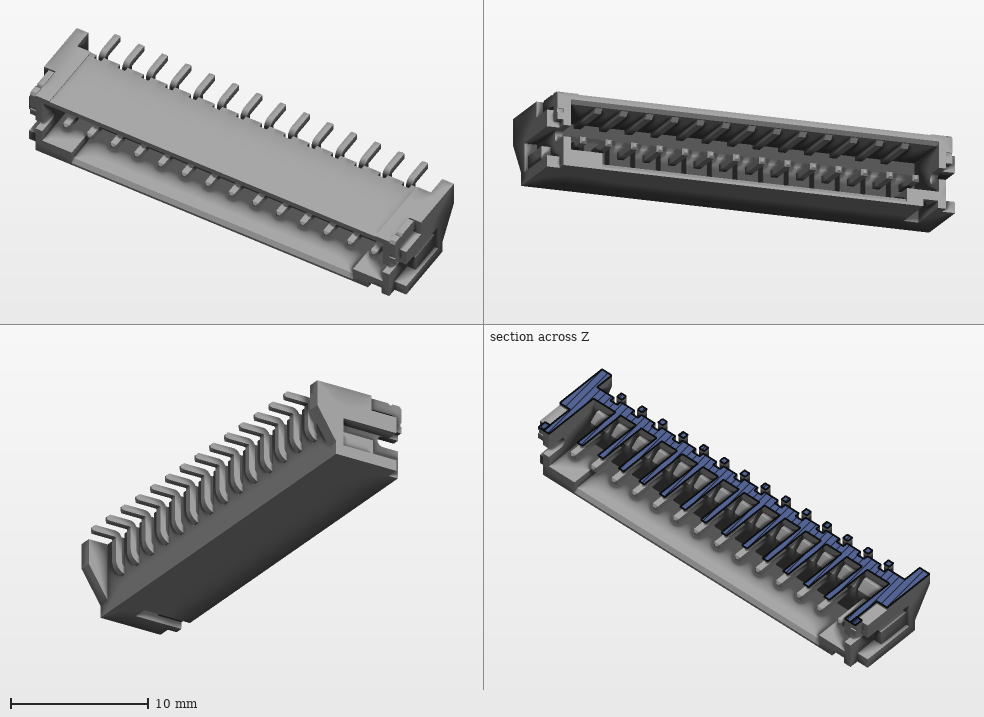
import cadquery as cq
import math

overall_length = 31.9
housing_top = 5.55
roof_top = 5.5
body_length = 29.92
body_depth = 5.95
raised_end_inner_x = 13.78

cavity_length = 28.77
cavity_ceiling = 4.8
bench_top = 1.25
floor_top = 0.48
floor_length = 23.8
back_wall_y = 4.88
lip_chamfer = 0.3

contact_count = 14
contact_pitch = 2.0 - 0.01
contact_width = 0.5
contact_height_z = 2.42
contact_tip_y = 0.95
contact_tip_chamfer = 0.15
contact_foot_end_y = 8.6
contact_leg_front_y = 6.15
upper_bend_radius = 0.57
lower_bend_radius = 0.57
inner_bend_radius = 0.05
slot_width = 0.65
slot_front_y = 5.58

block_width = 1.65
block_edge_radius = 0.1
block_front_y = 3.92
block_top = 3.75
block_slope_bottom = 3.2
block_slope_depth = 0.67
rib_width = 0.55
rib_height = 0.32
rib_front_y = 0.48

plate_front_y = 0.75
plate_rear_y = 7.6
plate_slope_top = 3.55
plate_slope_bottom = 1.0
tab_seat_rear_y = 2.9
tab_seat_floor = 4.35
window_rear_y = 5.33
window_bottom = 0.85
window_top = 3.05
key_front_y = 2.58
key_top = 2.1
key_thickness = 0.7

side_slot_depth = 1.75
side_slot_bottom = 2.2
groove_start_x = 13.17
groove_width = 1.15
groove_depth = 0.55
pocket_front_y = 2.0

tab_thickness = 0.48
tab_top = 5.6
tab_arm_bottom = 4.72
tab_leg_bottom = 3.48
tab_chamfer = 0.2
notch_half_width = 0.2
notch_depth = 0.15
notch_y = 0.95
recess_bottom = 4.0
recess_top = 4.3
recess_depth = 0.1

half_body = body_length / 2
contact_xs = [(i - (contact_count - 1) / 2) * contact_pitch for i in range(contact_count)]


def box(x_range, y_range, z_range):
    """Block spanning the given (low, high) ranges."""
    spans = [high - low for low, high in (x_range, y_range, z_range)]
    return cq.Workplane("XY").box(*spans, centered=False).translate(
        (x_range[0], y_range[0], z_range[0])
    )


def centred(width, x=0.0):
    """Range of the given width about x."""
    return (x - width / 2, x + width / 2)


def side_profile(points, x_range):
    """Prism along x with a polygonal outline given as (y, z) points."""
    outline = cq.Workplane("YZ", origin=(x_range[0], 0, 0)).polyline(points).close()
    return outline.extrude(x_range[1] - x_range[0])


def both_ends(left):
    """The left-hand shape together with its mirror image at the right-hand end."""
    return left.union(left.mirror("YZ"))


def make_shell():
    """Open-fronted box with raised ends and a stepped floor."""
    shell = box(centred(body_length), (0, body_depth), (0, roof_top))
    raised_end = box((-half_body, -raised_end_inner_x), (0, body_depth), (0, housing_top))
    shell = shell.union(both_ends(raised_end))
    shell = shell.cut(box(centred(cavity_length), (0, back_wall_y), (bench_top, cavity_ceiling)))
    shell = shell.cut(box(centred(floor_length), (0, back_wall_y), (floor_top, bench_top)))
    roof_lead_in = [
        (0, cavity_ceiling),
        (lip_chamfer, cavity_ceiling),
        (0, cavity_ceiling + lip_chamfer),
    ]
    floor_lead_in = [(0, floor_top), (lip_chamfer, floor_top), (0, floor_top - lip_chamfer)]
    shell = shell.cut(side_profile(roof_lead_in, centred(cavity_length)))
    return shell.cut(side_profile(floor_lead_in, centred(floor_length)))


def make_end_plate():
    """Left end plate with a seat for the solder tab and a keyed window in its outer face."""
    x_range = (-overall_length / 2, -half_body)
    outline = [
        (plate_front_y, 0),
        (body_depth, 0),
        (body_depth, plate_slope_bottom),
        (plate_rear_y, plate_slope_top),
        (plate_rear_y, housing_top),
        (tab_seat_rear_y, housing_top),
        (tab_seat_rear_y, tab_seat_floor),
        (plate_front_y, tab_seat_floor),
    ]
    plate = side_profile(outline, x_range)
    plate = plate.cut(box(x_range, (plate_front_y, window_rear_y), (window_bottom, window_top)))
    key = box(
        (-half_body - key_thickness, -half_body),
        (key_front_y, window_rear_y),
        (window_bottom, key_top),
    )
    return plate.union(key)


def make_side_slot():
    """Round-ended slot through the left side wall, open at the mating face."""
    radius = (window_top - side_slot_bottom) / 2
    straight = side_slot_depth - radius
    slot = (
        cq.Workplane("YZ", origin=(-half_body, 0, 0))
        .moveTo(0, side_slot_bottom)
        .lineTo(straight, side_slot_bottom)
        .threePointArc((side_slot_depth, side_slot_bottom + radius), (straight, window_top))
        .lineTo(0, window_top)
        .close()
    )
    return slot.extrude((body_length - cavity_length) / 2)


def make_contact_block(x):
    """Slope-topped block that carries one contact at the back of the cavity."""
    block = box(centred(block_width, x), (block_front_y, back_wall_y), (0, block_top))
    block = block.edges("|Z and <Y").fillet(block_edge_radius)
    slope = [
        (block_front_y, block_slope_bottom),
        (block_front_y, block_top),
        (block_front_y + block_slope_depth, block_top),
    ]
    return block.cut(side_profile(slope, centred(block_width, x)))


def make_roof_rib(x):
    """Rib under the roof with a sloping front."""
    outline = [
        (rib_front_y, cavity_ceiling),
        (rib_front_y + rib_height, cavity_ceiling - rib_height),
        (back_wall_y, cavity_ceiling - rib_height),
        (back_wall_y, cavity_ceiling),
    ]
    return side_profile(outline, centred(rib_width, x))


def make_contact(x):
    """Blade through the back wall, rising behind it and bending back into a solder foot."""
    blade_bottom = contact_height_z - contact_width / 2
    blade_top = blade_bottom + contact_width
    foot_bottom = housing_top - contact_width
    leg_rear_y = contact_leg_front_y + contact_width
    outer_lower_radius = lower_bend_radius + contact_width
    arc_part = math.sqrt(0.5)
    lower_y = contact_leg_front_y - lower_bend_radius
    lower_z = blade_top + lower_bend_radius
    upper_y = contact_leg_front_y + upper_bend_radius
    upper_z = housing_top - upper_bend_radius
    inner_y = leg_rear_y + inner_bend_radius
    inner_z = foot_bottom - inner_bend_radius

    def on_arc(centre_y, centre_z, radius, y_sign, z_sign):
        return (centre_y + y_sign * radius * arc_part, centre_z + z_sign * radius * arc_part)

    contact = (
        cq.Workplane("YZ", origin=(x - contact_width / 2, 0, 0))
        .moveTo(contact_tip_y, blade_bottom)
        .lineTo(lower_y, blade_bottom)
        .threePointArc(on_arc(lower_y, lower_z, outer_lower_radius, 1, -1), (leg_rear_y, lower_z))
        .lineTo(leg_rear_y, inner_z)
        .threePointArc(on_arc(inner_y, inner_z, inner_bend_radius, -1, 1), (inner_y, foot_bottom))
        .lineTo(contact_foot_end_y, foot_bottom)
        .lineTo(contact_foot_end_y, housing_top)
        .lineTo(upper_y, housing_top)
        .threePointArc(on_arc(upper_y, upper_z, upper_bend_radius, -1, 1), (contact_leg_front_y, upper_z))
        .lineTo(contact_leg_front_y, lower_z)
        .threePointArc(on_arc(lower_y, lower_z, lower_bend_radius, 1, -1), (lower_y, blade_top))
        .lineTo(contact_tip_y, blade_top)
        .close()
        .extrude(contact_width)
    )
    return contact.faces("<Y").chamfer(contact_tip_chamfer).faces(">Y").chamfer(contact_tip_chamfer)


def make_leg_channel(x):
    """Channel in the rear face that clears one contact leg."""
    channel_bottom = contact_height_z - contact_width / 2
    return box(
        centred(slot_width, x),
        (slot_front_y, body_depth),
        (channel_bottom, housing_top),
    )


def make_underside_groove():
    """Groove under the right bench that rises through the bench at its inner end."""
    x_range = (groove_start_x, groove_start_x + groove_width)
    groove = box(x_range, (0, block_front_y), (0, groove_depth))
    return groove.union(box(x_range, (pocket_front_y, block_front_y), (0, bench_top)))


def make_housing():
    """Insulating housing with its end plates and the contacts set into it."""
    housing = make_shell()
    housing = housing.union(both_ends(make_end_plate()))
    housing = housing.cut(both_ends(make_side_slot()))
    housing = housing.cut(make_underside_groove())
    cavity_floor = box(centred(cavity_length), (0, back_wall_y), (0, bench_top))
    cavity_floor = cavity_floor.cut(
        box(centred(floor_length), (0, back_wall_y), (floor_top, bench_top))
    )
    for x in contact_xs:
        housing = housing.union(make_contact_block(x).cut(cavity_floor))
    for x in contact_xs[:-1]:
        housing = housing.union(make_roof_rib(x + contact_pitch / 2))
    for x in contact_xs:
        housing = housing.cut(make_leg_channel(x))
        housing = housing.union(make_contact(x))
    return housing


def make_solder_tab():
    """L-shaped left solder tab with a V notch in its arm and a recess in its leg."""
    outline = [
        (0, tab_leg_bottom),
        (plate_front_y, tab_leg_bottom),
        (plate_front_y, tab_arm_bottom),
        (tab_seat_rear_y, tab_arm_bottom),
        (tab_seat_rear_y, tab_top - tab_chamfer),
        (tab_seat_rear_y - tab_chamfer, tab_top),
        (notch_y + notch_half_width, tab_top),
        (notch_y, tab_top - notch_depth),
        (notch_y - notch_half_width, tab_top),
        (tab_chamfer, tab_top),
        (0, tab_top - tab_chamfer),
        (0, recess_top),
        (recess_depth, recess_top),
        (recess_depth, recess_bottom),
        (0, recess_bottom),
    ]
    return side_profile(outline, (-half_body - tab_thickness, -half_body))


housing = make_housing()
left_tab = make_solder_tab()
right_tab = left_tab.mirror("YZ")

result = cq.Compound.makeCompound([housing.val(), left_tab.val(), right_tab.val()])